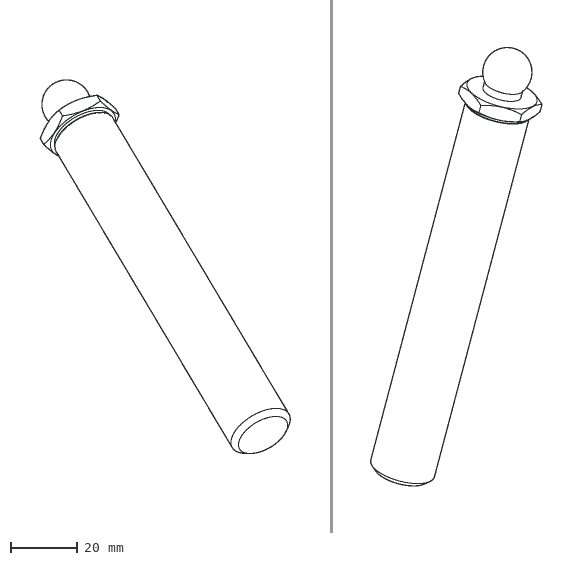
import cadquery as cq
import math

total_length = 144.0
ball_diameter = 15.0
neck_diameter = 12.0
hex_start = 14.4
hex_thickness = 4.5
hex_across_flats = 22.0
hex_face_diameter = 21.9
hex_chamfer_angle = 30.0
body_diameter = 20.0
relief_diameter = 19.3
relief_length = 1.2
end_chamfer = 1.7

hex_end = hex_start + hex_thickness
hex_across_corners = hex_across_flats / math.cos(math.radians(30))


def cylinder(diameter, start, end):
    """Solid cylinder on the X axis between two stations."""
    return cq.Workplane("YZ", origin=(start, 0, 0)).circle(diameter / 2).extrude(end - start)


def make_ball_stud():
    """Ball with its tip at the origin, on a neck that reaches the hexagon."""
    ball_radius = ball_diameter / 2
    ball = (
        cq.Workplane("XY")
        .threePointArc((ball_radius, ball_radius), (ball_diameter, 0))
        .close()
        .revolve(360, (0, 0, 0), (1, 0, 0))
    )
    return ball.union(cylinder(neck_diameter, ball_radius, hex_start))


def make_hexagon():
    """Hexagon with corners along Y, both faces turned down to a shallow cone."""
    prism = (
        cq.Workplane("YZ", origin=(hex_start, 0, 0))
        .polygon(6, hex_across_corners)
        .extrude(hex_thickness)
    )
    face_radius = hex_face_diameter / 2
    hex_middle = hex_start + hex_thickness / 2
    cone_radius = face_radius + hex_thickness / 2 / math.tan(math.radians(hex_chamfer_angle))
    turned_envelope = (
        cq.Workplane("XY")
        .moveTo(hex_start, 0)
        .lineTo(hex_start, face_radius)
        .lineTo(hex_middle, cone_radius)
        .lineTo(hex_end, face_radius)
        .lineTo(hex_end, 0)
        .close()
        .revolve(360, (0, 0, 0), (1, 0, 0))
    )
    return prism.intersect(turned_envelope)


def make_body():
    """Long round body, relieved next to the hexagon and chamfered at the far end."""
    body_start = hex_end + relief_length
    body = cylinder(body_diameter, body_start, total_length).faces(">X").chamfer(end_chamfer)
    return body.union(cylinder(relief_diameter, hex_end, body_start))


result = make_ball_stud().union(make_hexagon()).union(make_body())